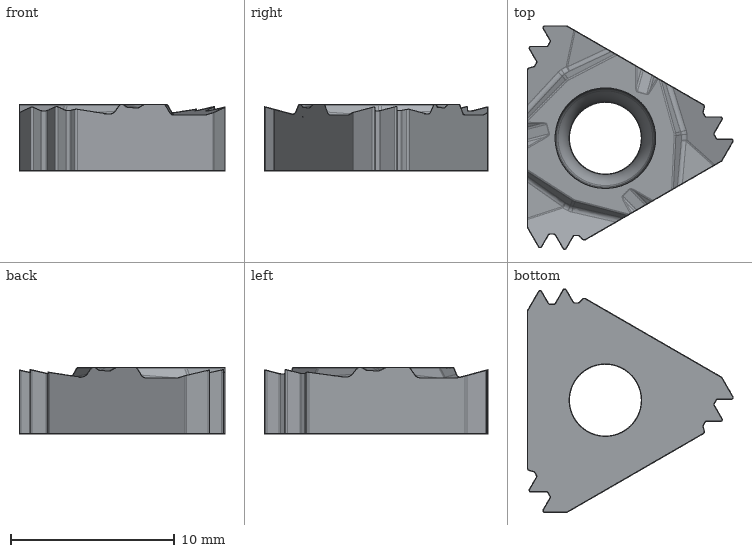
import cadquery as cq
import math


CORNERS = 3
MARGIN = 1.37

thickness = 4.08
inscribed_radius = 4.77

flank_slope = math.tan(math.radians(60))
flank_start_y = -5.47
root_1_y = -5.88
root_1_left_x = -3.46
root_1_right_x = -3.09
root_2_y = -5.96
root_2_left_x = -1.94
root_2_right_x = -1.63
tip_radius = 0.11
root_radius = 0.08
heel_radius = 0.2
chamfer_tooth_radius = 0.16

bore_radius = 2.2
mouth_radius = 3.08
mouth_foot_radius = 3.0
mouth_depth = 1.04
seat_top_radius = 2.9
seat_top_depth = 1.27
seat_bottom_depth = 3.6
seat_blend_bulge = 0.01

tip_height = 3.94
tip_y = -6.83
rake_slope = math.tan(math.radians(15))
side_floor_height = 3.43
side_floor_slope = math.tan(math.radians(5))
wall_lean = 30.0
wall_side_angle = 237.4
wall_side_offset = 4.27
wall_front_angle = 255.2
wall_front_offset = 4.2
wall_corner_radius = 0.68
wall_top_radius = 0.12
floor_radius = 0.31
floor_edge_low = 3.15
floor_edge_high = 3.46

notch_end_x = -3.52
notch_end_y = 0.56
notch_heading = 194.5
notch_ramp = 9.0
notch_floor_width = 0.74
notch_wall_lean = 60.0
notch_foot_radius = 0.27
notch_rim_radius = 0.16
notch_rims = [(-4.16, -0.2), (-4.25, 0.92)]
notch_length = 2.74
notch_height = 0.55


def around_axis(body):
    """The body repeated at every corner."""
    copies = body
    for i in range(1, CORNERS):
        copies = copies.union(body.rotate((0, 0, 0), (0, 0, 1), i * 360 / CORNERS))
    return copies


def flank_crossing(left, right):
    """Apex of a flank falling from the left point and one rising to the right point."""
    x = (left[0] + right[0]) / 2 + (left[1] - right[1]) / (2 * flank_slope)
    return x, left[1] - flank_slope * (x - left[0])


def turned(point, degrees):
    """The point rotated around the hole axis."""
    angle = math.radians(degrees)
    x, y = point
    return x * math.cos(angle) - y * math.sin(angle), x * math.sin(angle) + y * math.cos(angle)


def at_corners(point):
    """The point repeated at every corner."""
    return [turned(point, i * 360 / CORNERS) for i in range(CORNERS)]


def edges_near(body, points, height):
    """Select the edge of the body whose middle is nearest to each point at the height."""
    selection = body.newObject([])
    for x, y in points:
        selection = selection.add(body.edges(cq.selectors.NearestToPointSelector((x, y, height))))
    return selection


def toothed_plate():
    heel = (-inscribed_radius, flank_start_y)
    root_1 = [(root_1_left_x, root_1_y), (root_1_right_x, root_1_y)]
    root_2 = [(root_2_left_x, root_2_y), (root_2_right_x, root_2_y)]
    tip_1 = flank_crossing(heel, root_1[0])
    tip_2 = flank_crossing(root_1[1], root_2[0])
    side_angle = math.radians(90 - 180 / CORNERS)
    side_slope = math.tan(side_angle)
    side_y_at_zero = -inscribed_radius / math.cos(side_angle)
    last_x = (root_2_right_x + root_2_y - side_y_at_zero) / (1 + side_slope)
    last = (last_x, side_y_at_zero + side_slope * last_x)

    corner = [heel, tip_1, *root_1, tip_2, *root_2, last]
    outline = [turned(point, i * 360 / CORNERS) for i in range(CORNERS) for point in corner]
    plate = cq.Workplane("XY").polyline(outline).close().extrude(thickness)

    rounded = [
        (tip_1, tip_radius),
        (tip_2, tip_radius),
        (heel, heel_radius),
        (last, chamfer_tooth_radius),
    ]
    rounded += [(point, root_radius) for point in root_1 + root_2]
    for point, radius in rounded:
        plate = edges_near(plate, at_corners(point), thickness / 2).fillet(radius)
    return plate


def screw_hole():
    mouth_z = thickness - mouth_depth
    seat_top_z = thickness - seat_top_depth
    seat_bottom_z = thickness - seat_bottom_depth
    drop = seat_top_z - seat_bottom_z
    step = seat_top_radius - bore_radius
    seat_radius = (drop**2 + step**2) / (2 * step)
    half_turn = math.asin(drop / seat_radius) / 2
    seat_mid = (
        bore_radius + seat_radius * (1 - math.cos(half_turn)),
        seat_bottom_z + seat_radius * math.sin(half_turn),
    )
    blend_mid = (
        (mouth_foot_radius + seat_top_radius) / 2 + seat_blend_bulge,
        (mouth_z + seat_top_z) / 2,
    )
    return (
        cq.Workplane("XZ")
        .moveTo(0, 0)
        .lineTo(bore_radius, 0)
        .lineTo(bore_radius, seat_bottom_z)
        .threePointArc(seat_mid, (seat_top_radius, seat_top_z))
        .threePointArc(blend_mid, (mouth_foot_radius, mouth_z))
        .lineTo(mouth_radius, thickness)
        .lineTo(0, thickness)
        .close()
        .revolve(360, (0, 0), (0, 1))
    )


def lines_crossing(angle_1, offset_1, angle_2, offset_2):
    """Crossing of two lines given by the heading of their normal and distance from the axis."""
    a1, a2 = math.radians(angle_1), math.radians(angle_2)
    det = math.sin(a2 - a1)
    x = (offset_1 * math.sin(a2) - offset_2 * math.sin(a1)) / det
    y = (offset_2 * math.cos(a1) - offset_1 * math.cos(a2)) / det
    return x, y


def wall_outline(spread, reach):
    """Both pocket walls at one height, moved outward by the spread and closed behind the axis."""
    side_angle, front_angle = math.radians(wall_side_angle), math.radians(wall_front_angle)
    ridge = lines_crossing(
        wall_side_angle, wall_side_offset + spread, wall_front_angle, wall_front_offset + spread
    )
    side_end = (ridge[0] + reach * math.sin(side_angle), ridge[1] - reach * math.cos(side_angle))
    front_end = (ridge[0] - reach * math.sin(front_angle), ridge[1] + reach * math.cos(front_angle))
    return [side_end, ridge, front_end, (0, reach)]


def pocket():
    reach = 2 * inscribed_radius
    spread = thickness * math.tan(math.radians(wall_lean))
    top_outline = wall_outline(0, reach)
    foot_outline = wall_outline(spread, reach)
    middle = (
        cq.Workplane("XY")
        .polyline(foot_outline)
        .close()
        .workplane(offset=thickness)
        .polyline(top_outline)
        .close()
        .loft(ruled=True)
    )
    ridge_top, ridge_foot = top_outline[1], foot_outline[1]
    ridge_middle = ((ridge_top[0] + ridge_foot[0]) / 2, (ridge_top[1] + ridge_foot[1]) / 2, thickness / 2)
    middle = middle.edges(cq.selectors.NearestToPointSelector(ridge_middle)).fillet(wall_corner_radius)
    middle = middle.faces(">Z").edges().fillet(wall_top_radius)

    def rake_z(y):
        return tip_height + rake_slope * (tip_y - y)

    def side_z(x):
        return side_floor_height - side_floor_slope * (x + inscribed_radius)

    outer = -inscribed_radius - MARGIN
    low = tip_y - MARGIN
    roof = thickness + 2 * MARGIN
    over_rake = (
        cq.Workplane("YZ")
        .workplane(offset=outer)
        .polyline([(low, rake_z(low)), (0, rake_z(0)), (0, roof), (low, roof)])
        .close()
        .extrude(reach)
    )
    over_side = (
        cq.Workplane("XZ")
        .workplane(offset=-low)
        .polyline([(outer, side_z(outer)), (reach, side_z(reach)), (reach, roof), (outer, roof)])
        .close()
        .extrude(-reach)
    )
    space = over_rake.intersect(over_side)
    cutter = space.cut(middle)
    floor_edges = cutter.edges(
        cq.selectors.BoxSelector((-reach, -reach, floor_edge_low), (reach, reach, floor_edge_high))
    )
    return floor_edges.fillet(floor_radius)


def notch():
    """Ramp cut into the top, deepening toward the long side, with leaning walls."""
    flare = notch_height * math.tan(math.radians(notch_wall_lean))
    half_floor = notch_floor_width / 2
    section = [
        (-half_floor, 0),
        (half_floor, 0),
        (half_floor + flare, notch_height),
        (-half_floor - flare, notch_height),
    ]
    cutter = (
        cq.Workplane("YZ")
        .polyline(section)
        .close()
        .extrude(notch_length)
        .edges("|X and <Z")
        .fillet(notch_foot_radius)
    )
    return (
        cutter.rotate((0, 0, 0), (0, 1, 0), notch_ramp)
        .rotate((0, 0, 0), (0, 0, 1), notch_heading)
        .translate((notch_end_x, notch_end_y, thickness))
    )


def with_rounded_notch_rims(body):
    """Round the two long upper edges of every notch."""
    rims = [corner_point for rim in notch_rims for corner_point in at_corners(rim)]
    return edges_near(body, rims, thickness).fillet(notch_rim_radius)


plate = toothed_plate().cut(screw_hole())
plate = plate.cut(around_axis(pocket())).cut(around_axis(notch()))
result = with_rounded_notch_rims(plate)